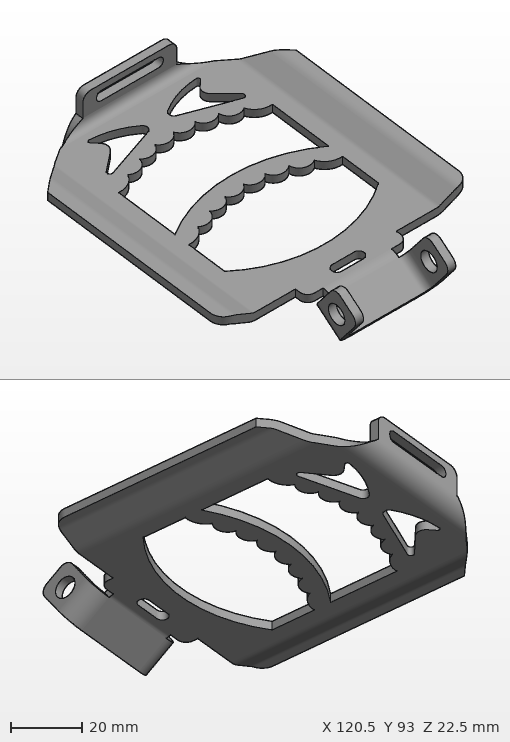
import cadquery as cq
import math

length = 120.5
width = 93.0
thickness = 3.0

inner_radius = 3.0
outer_radius = inner_radius + thickness

plate_end_x = 95.1
wing_angle = math.radians(25)
wing_rise = 3.6
wing_flat_width = 2.9
wing_corner_radius = 5.0

tab_half_width = 17.6
tab_top_z = 15.0
tab_corner_radius = 3.0
tab_slot_length = 25.1
tab_slot_height = 3.7
tab_slot_z = 10.6
taper_start_half_width = 28.9
taper_fold_x = 9.5
taper_crest_x = 18.2
taper_end_x = 20.9

nose_end_x = 99.9
nose_half_width = 18.9
nose_corner_radius = 3.0
nose_slot_x = 96.0
nose_slot_length = 12.0
nose_slot_width = 3.9

window_half_width = 28.8
window_pitch = 29.9
tooth_root_x = 21.6
tooth_root_radius = 47.0
tooth_height = 2.3
tooth_angle = 9.2
tooth_count = 3
end_tooth_bulge = (29.7, 24.0)
end_tooth_x = 31.0
bridge_arc_x = 46.3
bridge_arc_end_x = 55.0
rear_arc_x = 85.9
rear_arc_end_x = 76.2

opening_outer_tip = (8.4, 21.9)
opening_valley = (13.9, 16.3)
opening_long_tip = (25.3, 29.4)
opening_inner_tip = (15.7, 2.2)
opening_side_bulge = (9.9, 12.4)
opening_corners = [
    (opening_outer_tip, 0.7),
    (opening_valley, 3.0),
    (opening_long_tip, 1.02),
    (opening_inner_tip, 1.8),
]

clevis_angle = 35.0
clevis_bend_inner = 2.7
clevis_bend_outer = clevis_bend_inner + thickness
clevis_length = 12.2
clevis_half_width = 18.8
strap_half_width = clevis_half_width - outer_radius
ear_corner_radius = 3.0
ear_hole_diameter = 7.0
ear_hole_height = 10.6

half_width = width / 2
crest_y = half_width - wing_flat_width
bend_rise = (inner_radius + outer_radius) * (1 - math.cos(wing_angle))
slope_length = (wing_rise - bend_rise) / math.sin(wing_angle)
slope_run = slope_length * math.cos(wing_angle)
crest_end_y = crest_y - outer_radius * math.sin(wing_angle)
fold_end_y = crest_end_y - slope_run
fold_y = fold_end_y - inner_radius * math.sin(wing_angle)
through = 4 * thickness


def polar(center, radius, angle):
    """Point at an angle (radians) measured from the +second axis towards the +first axis."""
    return (center[0] + radius * math.sin(angle), center[1] + radius * math.cos(angle))


def wing_section():
    """Half cross-section of plate and wing in the YZ plane."""
    fold_center = (fold_y, outer_radius)
    crest_center = (crest_y, wing_rise - inner_radius)
    turned = math.pi - wing_angle
    return (
        cq.Workplane("YZ")
        .moveTo(0, 0)
        .lineTo(fold_y, 0)
        .threePointArc(
            polar(fold_center, outer_radius, math.pi - wing_angle / 2),
            polar(fold_center, outer_radius, turned),
        )
        .lineTo(*polar(crest_center, inner_radius, -wing_angle))
        .threePointArc(
            polar(crest_center, inner_radius, -wing_angle / 2),
            polar(crest_center, inner_radius, 0),
        )
        .lineTo(half_width, wing_rise)
        .lineTo(half_width, wing_rise + thickness)
        .lineTo(crest_y, wing_rise + thickness)
        .threePointArc(
            polar(crest_center, outer_radius, -wing_angle / 2),
            polar(crest_center, outer_radius, -wing_angle),
        )
        .lineTo(*polar(fold_center, inner_radius, turned))
        .threePointArc(
            polar(fold_center, inner_radius, math.pi - wing_angle / 2),
            polar(fold_center, inner_radius, math.pi),
        )
        .lineTo(0, thickness)
        .close()
    )


def plate_outline():
    """Half outline of plate and nose seen from above, as a tall block."""
    height = wing_rise + thickness
    outline = (
        cq.Workplane("XY")
        .polyline([
            (outer_radius, 0),
            (outer_radius, taper_start_half_width),
            (taper_fold_x, fold_y),
            (taper_crest_x, crest_y),
            (taper_end_x, half_width),
            (plate_end_x, half_width),
            (plate_end_x, nose_half_width),
            (nose_end_x, nose_half_width),
            (nose_end_x, 0),
        ])
        .close()
        .extrude(height)
    )
    wing_corner = cq.selectors.NearestToPointSelector((plate_end_x, half_width, height / 2))
    nose_corner = cq.selectors.NearestToPointSelector((nose_end_x, nose_half_width, height / 2))
    outline = outline.edges("|Z").edges(wing_corner).fillet(wing_corner_radius)
    return outline.edges("|Z").edges(nose_corner).fillet(nose_corner_radius)


def plate():
    half = wing_section().extrude(nose_end_x).intersect(plate_outline())
    return half.union(half.mirror("XZ"))


def tab_bend():
    """Quarter bend whose sides taper evenly along the bend from plate width to tab width."""
    ring = (
        cq.Workplane("XZ")
        .center(outer_radius, outer_radius)
        .moveTo(0, -outer_radius)
        .radiusArc((-outer_radius, 0), outer_radius)
        .lineTo(-inner_radius, 0)
        .radiusArc((0, -inner_radius), -inner_radius)
        .close()
        .extrude(taper_start_half_width, both=True)
    )
    steps = 6
    margin = 1.2
    sections = []
    for step in range(steps + 1):
        share = step / steps
        angle = share * math.pi / 2
        half = taper_start_half_width + share * (tab_half_width - taper_start_half_width)
        outline = []
        for radius, side in [
            (inner_radius - margin, -half),
            (outer_radius + margin, -half),
            (outer_radius + margin, half),
            (inner_radius - margin, half),
        ]:
            x = outer_radius - radius * math.sin(angle)
            z = outer_radius - radius * math.cos(angle)
            outline.append(cq.Vector(x, side, z))
        sections.append(cq.Wire.makePolygon(outline, close=True))
    taper = cq.Workplane(cq.Solid.makeLoft(sections))
    return ring.intersect(taper)


def tab():
    height = tab_top_z - outer_radius
    upright = (
        cq.Workplane("XY")
        .box(thickness, 2 * tab_half_width, height, centered=(False, True, False))
        .translate((0, 0, outer_radius))
        .edges("|X and >Z")
        .fillet(tab_corner_radius)
    )
    slot = (
        cq.Workplane("YZ")
        .center(0, tab_slot_z)
        .slot2D(tab_slot_length, tab_slot_height)
        .extrude(thickness)
    )
    return upright.cut(slot)


def strap_bend():
    """Short downward bend joining the nose to the clevis."""
    angle = math.radians(clevis_angle)
    center = (nose_end_x, -clevis_bend_inner)
    return (
        cq.Workplane("XZ")
        .moveTo(nose_end_x, 0)
        .lineTo(nose_end_x, thickness)
        .threePointArc(
            polar(center, clevis_bend_outer, angle / 2),
            polar(center, clevis_bend_outer, angle),
        )
        .lineTo(*polar(center, clevis_bend_inner, angle))
        .threePointArc(
            polar(center, clevis_bend_inner, angle / 2),
            (nose_end_x, 0),
        )
        .close()
        .extrude(strap_half_width, both=True)
    )


def clevis():
    """U-shaped bracket, built level at the origin and then tilted onto the strap bend."""
    angle = math.radians(clevis_angle)
    start_x, start_z = polar((nose_end_x, -clevis_bend_inner), clevis_bend_inner, angle)
    reach = length - start_x - ear_corner_radius
    reach -= (clevis_length - ear_corner_radius) * math.cos(angle)
    ear_height = ear_corner_radius + reach / math.sin(angle)
    inside_width = 2 * (clevis_half_width - thickness)

    outside = (
        cq.Workplane("XY")
        .box(clevis_length, 2 * clevis_half_width, ear_height, centered=(False, True, False))
        .edges("|X and <Z")
        .fillet(outer_radius)
    )
    inside = (
        cq.Workplane("XY")
        .box(clevis_length, inside_width, ear_height, centered=(False, True, False))
        .edges("|X and <Z")
        .fillet(inner_radius)
        .translate((0, 0, thickness))
    )
    hole = (
        cq.Workplane("XZ")
        .center(clevis_length / 2, ear_hole_height)
        .circle(ear_hole_diameter / 2)
        .extrude(clevis_half_width, both=True)
    )
    bracket = outside.cut(inside).edges("|Y and >Z").fillet(ear_corner_radius).cut(hole)
    tilted = bracket.rotate((0, 0, 0), (0, 1, 0), clevis_angle)
    return tilted.translate((start_x, 0, start_z))


def toothed_edge():
    """Points of the first toothed edge, alternating roots and crests, from the center outwards."""
    center_x = tooth_root_x + tooth_root_radius
    points = []
    for step in range(2 * tooth_count + 1):
        angle = math.radians(step * tooth_angle / 2)
        radius = tooth_root_radius - tooth_height * (step % 2)
        points.append((center_x - radius * math.cos(angle), radius * math.sin(angle)))
    points += [end_tooth_bulge, (end_tooth_x, window_half_width)]
    return points


def window(shift, arc_x, arc_end_x):
    """Cutter with a toothed left edge moved by shift and an arc as its right edge."""
    upper = [(x + shift, y) for x, y in toothed_edge()]
    lower = [(x, -y) for x, y in reversed(upper)]
    edge = lower + upper[1:]
    outline = cq.Workplane("XY").moveTo(*edge[0])
    for crest, root in zip(edge[1::2], edge[2::2]):
        outline = outline.threePointArc(crest, root)
    return (
        outline.lineTo(arc_end_x, window_half_width)
        .threePointArc((arc_x, 0), (arc_end_x, -window_half_width))
        .close()
        .extrude(through, both=True)
    )


def three_pointed_opening():
    opening = (
        cq.Workplane("XY")
        .moveTo(*opening_outer_tip)
        .lineTo(*opening_valley)
        .lineTo(*opening_long_tip)
        .lineTo(*opening_inner_tip)
        .threePointArc(opening_side_bulge, opening_outer_tip)
        .close()
        .extrude(through, both=True)
    )
    for corner, radius in opening_corners:
        nearest = cq.selectors.NearestToPointSelector((*corner, 0))
        opening = opening.edges("|Z").edges(nearest).fillet(radius)
    return opening


def nose_slot():
    return (
        cq.Workplane("XY")
        .center(nose_slot_x, 0)
        .slot2D(nose_slot_length, nose_slot_width, 90)
        .extrude(through, both=True)
    )


opening = three_pointed_opening()
pierced_plate = (
    plate()
    .cut(window(0, bridge_arc_x, bridge_arc_end_x))
    .cut(window(window_pitch, rear_arc_x, rear_arc_end_x))
    .cut(opening)
    .cut(opening.mirror("XZ"))
    .cut(nose_slot())
)
result = pierced_plate.union(tab_bend()).union(tab()).union(strap_bend()).union(clevis())